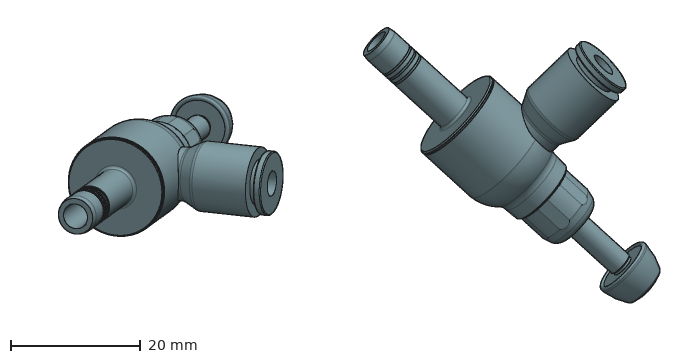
import cadquery as cq
import math


total_length = 58.0
body_bottom_y = 17.05
port_axis_y = 27.7
knob_bottom_y = 35.7
knob_top_y = 42.9

tube_radius = 3.0
tube_end_radius = 2.85
tube_end_taper = 1.0
tube_flare = 0.45
groove_count = 3
first_groove_y = 4.45
groove_pitch = 1.05
groove_width = 0.35
groove_depth = 0.1

body_radius = 7.9
body_edge_chamfer = 0.25
base_ring_top_y = 17.35
base_groove_top_y = 17.65
base_groove_depth = 0.2
dome_mid_radius = 7.35
dome_mid_y = 30.0
dome_top_radius = 6.15
dome_top_y = 31.9
collar_foot_mid_radius = 5.8
collar_foot_mid_y = 32.5
collar_foot_radius = 5.7
collar_foot_y = 33.2
collar_top_radius = 5.55
collar_edge_chamfer = 0.3

knob_radius = 5.1
knob_straight_top_y = 40.55
knob_shoulder_mid_radius = 4.95
knob_shoulder_mid_y = 41.25
knob_shoulder_radius = 4.75
knob_shoulder_y = 41.9
knob_top_mid_radius = 4.4
knob_top_mid_y = 42.5
knob_top_radius = 3.9
flat_count = 6
flat_distance = 5.0

stem_radius = 2.0
cap_bottom_y = 52.7
stem_neck_y = 52.6
stem_chamfer = 0.2
cap_radius = 4.95
cap_lip_round = 0.35
cap_lip_mid_radius = cap_radius - cap_lip_round
cap_lip_outer_y = cap_bottom_y + cap_lip_round
cap_recess_radius = 4.2
cap_recess_y = 53.0
cap_rim_top_y = 53.35
cap_mid_radius = 4.5
cap_mid_y = 55.45
cap_shoulder_radius = 3.65
cap_shoulder_y = 57.4
cap_top_y = 57.65
cap_top_radius = 3.5
boss_radius = 2.65
boss_chamfer = 0.145

port_end_x = 21.7
neck_radius = 4.2
neck_end_x = 7.8
neck_blend_mid_x = 8.0
neck_blend_mid_radius = 4.25
cone_start_x = 8.25
cone_start_radius = 4.35
cone_end_x = 10.15
cone_end_radius = 5.35
sleeve_start_x = 10.6
sleeve_radius = 5.45
sleeve_blend_mid_x = 10.4
sleeve_blend_mid_radius = (cone_end_radius + 2 * sleeve_radius) / 3
sleeve_end_x = 19.45
release_neck_radius = 3.6
release_flange_x = 20.5
release_flange_radius = 5.0
release_flange_chamfer = 0.2

bore_radius = 2.0


def round_point(center_r, center_y, radius, angle_deg):
    """Point on a round edge, with the angle counted from the radial direction."""
    angle = math.radians(angle_deg)
    return (center_r + radius * math.cos(angle), center_y + radius * math.sin(angle))


def make_tube():
    """Tapered-end tube with a concave flare where it meets the body."""
    flare_mid = round_point(tube_radius + tube_flare, body_bottom_y - tube_flare, tube_flare, 135)
    tube = (
        cq.Workplane("XY")
        .moveTo(0, 0)
        .lineTo(tube_end_radius, 0)
        .lineTo(tube_radius, tube_end_taper)
        .lineTo(tube_radius, body_bottom_y - tube_flare)
        .threePointArc(flare_mid, (tube_radius + tube_flare, body_bottom_y))
        .lineTo(tube_radius + tube_flare, base_ring_top_y)
        .lineTo(0, base_ring_top_y)
        .close()
        .revolve(360, (0, 0), (0, 1))
    )
    for index in range(groove_count):
        groove_y = first_groove_y + index * groove_pitch
        groove = (
            cq.Workplane("XY")
            .center(tube_radius, groove_y)
            .rect(2 * groove_depth, groove_width)
            .revolve(360, (-tube_radius, 0), (-tube_radius, 1))
        )
        tube = tube.cut(groove)
    return tube


def make_body():
    """Round body: grooved base, straight wall, dome and collar."""
    return (
        cq.Workplane("XY")
        .moveTo(0, body_bottom_y)
        .lineTo(body_radius - body_edge_chamfer, body_bottom_y)
        .lineTo(body_radius, body_bottom_y + body_edge_chamfer)
        .lineTo(body_radius, base_ring_top_y)
        .lineTo(body_radius - base_groove_depth, base_ring_top_y)
        .lineTo(body_radius - base_groove_depth, base_groove_top_y)
        .lineTo(body_radius, base_groove_top_y)
        .lineTo(body_radius, port_axis_y)
        .threePointArc((dome_mid_radius, dome_mid_y), (dome_top_radius, dome_top_y))
        .threePointArc((collar_foot_mid_radius, collar_foot_mid_y), (collar_foot_radius, collar_foot_y))
        .lineTo(collar_top_radius, knob_bottom_y - collar_edge_chamfer)
        .lineTo(collar_top_radius - collar_edge_chamfer, knob_bottom_y)
        .lineTo(0, knob_bottom_y)
        .close()
        .revolve(360, (0, 0), (0, 1))
    )


def make_knob():
    """Round-shouldered knob with grip flats spaced evenly around it."""
    knob = (
        cq.Workplane("XY")
        .moveTo(0, knob_bottom_y)
        .lineTo(knob_radius, knob_bottom_y)
        .lineTo(knob_radius, knob_straight_top_y)
        .threePointArc(
            (knob_shoulder_mid_radius, knob_shoulder_mid_y), (knob_shoulder_radius, knob_shoulder_y)
        )
        .threePointArc((knob_top_mid_radius, knob_top_mid_y), (knob_top_radius, knob_top_y))
        .lineTo(0, knob_top_y)
        .close()
        .revolve(360, (0, 0), (0, 1))
    )
    flat_length = knob_top_y - knob_bottom_y
    flat_thickness = knob_radius - flat_distance
    cutter = cq.Workplane("XY").box(
        knob_radius, flat_length, flat_thickness, centered=(True, False, False)
    )
    cutter = cutter.translate((0, knob_bottom_y, flat_distance))
    for index in range(flat_count):
        knob = knob.cut(cutter.rotate((0, 0, 0), (0, 1, 0), index * 360 / flat_count))
    return knob


def make_stem_and_cap():
    """Needle stem carrying a domed cap: rounded lip, shallow recess below, low boss on top."""
    return (
        cq.Workplane("XY")
        .moveTo(0, knob_top_y)
        .lineTo(stem_radius, knob_top_y)
        .lineTo(stem_radius, stem_neck_y - stem_chamfer)
        .lineTo(stem_radius - stem_chamfer, stem_neck_y)
        .lineTo(stem_radius - stem_chamfer, cap_recess_y)
        .lineTo(cap_recess_radius, cap_recess_y)
        .threePointArc((cap_lip_mid_radius, cap_bottom_y), (cap_radius, cap_lip_outer_y))
        .lineTo(cap_radius, cap_rim_top_y)
        .threePointArc((cap_mid_radius, cap_mid_y), (cap_shoulder_radius, cap_shoulder_y))
        .lineTo(cap_top_radius, cap_top_y)
        .lineTo(boss_radius, cap_top_y)
        .lineTo(boss_radius, total_length - boss_chamfer)
        .lineTo(boss_radius - boss_chamfer, total_length)
        .lineTo(0, total_length)
        .close()
        .revolve(360, (0, 0), (0, 1))
    )


def make_port():
    """Side port: neck, cone, sleeve and the flanged release ring."""
    return (
        cq.Workplane("XY")
        .center(0, port_axis_y)
        .moveTo(0, 0)
        .lineTo(0, neck_radius)
        .lineTo(neck_end_x, neck_radius)
        .threePointArc((neck_blend_mid_x, neck_blend_mid_radius), (cone_start_x, cone_start_radius))
        .lineTo(cone_end_x, cone_end_radius)
        .threePointArc((sleeve_blend_mid_x, sleeve_blend_mid_radius), (sleeve_start_x, sleeve_radius))
        .lineTo(sleeve_end_x, sleeve_radius)
        .lineTo(sleeve_end_x, release_neck_radius)
        .lineTo(release_flange_x, release_neck_radius)
        .lineTo(release_flange_x, release_flange_radius - release_flange_chamfer)
        .lineTo(release_flange_x + release_flange_chamfer, release_flange_radius)
        .lineTo(port_end_x - release_flange_chamfer, release_flange_radius)
        .lineTo(port_end_x, release_flange_radius - release_flange_chamfer)
        .lineTo(port_end_x, 0)
        .close()
        .revolve(360, (0, 0), (1, 0))
    )


def cut_passage(part):
    """Bore up the tube and out through the port, with a ball-shaped corner."""
    tube_bore = cq.Workplane("XZ").circle(bore_radius).extrude(-port_axis_y)
    port_bore = (
        cq.Workplane("XY")
        .center(0, port_axis_y)
        .moveTo(-bore_radius, 0)
        .threePointArc(round_point(0, 0, bore_radius, 135), (0, bore_radius))
        .lineTo(port_end_x, bore_radius)
        .lineTo(port_end_x, 0)
        .close()
        .revolve(360, (0, 0), (1, 0))
    )
    return part.cut(tube_bore).cut(port_bore)


fitting = (
    make_body()
    .union(make_tube())
    .union(make_knob())
    .union(make_stem_and_cap())
    .union(make_port())
)
result = cut_passage(fitting)